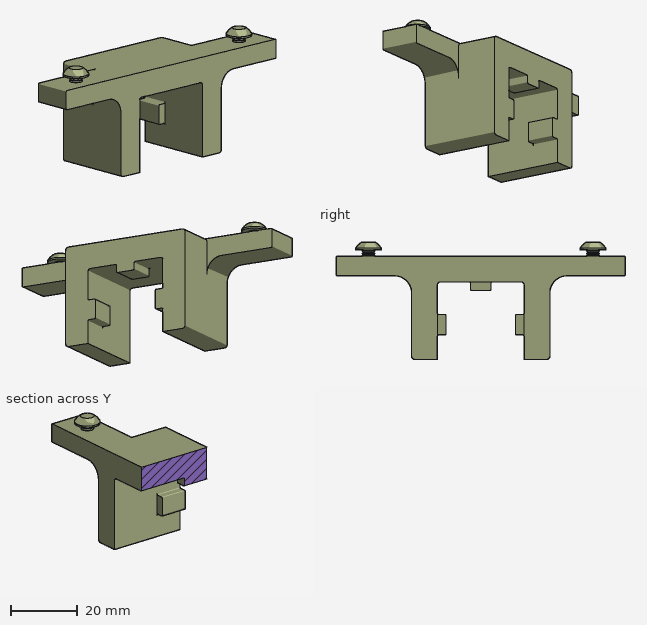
import cadquery as cq


block_length = 25.0
block_width = 41.4
block_height = 31.0
block_edge_radius = 1.0

channel_width = 25.9
channel_height = 23.2
channel_corner_radius = 0.9

key_width = 6.1
key_projection = 2.6
key_length = 8.7
key_edge_radius = 0.4
side_key_bottom = 7.35

arm_span = 86.5
arm_start = 12.9
arm_thickness = 6.0
arm_fillet_radius = 5.0
arm_edge_radius = 0.4

screw_spacing = 67.1
screw_center_x = 19.0
total_height = 35.1
head_diameter = 7.7
head_top_diameter = 4.15
head_height = 2.3
head_rim_height = 0.5
head_dome_bulge = 0.13
shank_diameter = 3.2
thread_diameter = 3.9
thread_pitch = 0.7
thread_count = 3
screw_embed = 0.4

arm_width = block_length - arm_start
arm_bottom = block_height - arm_thickness


def bar_along_x(start, length, y_min, y_max, z_min, z_max):
    """Rectangular bar between the given limits."""
    size = (length, y_max - y_min, z_max - z_min)
    return cq.Workplane().box(*size, centered=False).translate((start, y_min, z_min))


def make_block():
    """Downward-open channel block with rounded long edges."""
    half_width = block_width / 2
    half_channel = channel_width / 2
    body = bar_along_x(0, block_length, -half_width, half_width, 0, block_height)
    body = body.edges("|X").fillet(block_edge_radius)
    channel = bar_along_x(0, block_length, -half_channel, half_channel, 0, channel_height)
    channel = channel.edges("|X and >Z").fillet(channel_corner_radius)
    return body.cut(channel)


def make_arms():
    """Both arms as one bar, flared into the block by a round fillet on each side."""
    half_span = arm_span / 2
    half_width = block_width / 2
    flare_end = half_width + arm_fillet_radius
    flare_bottom = arm_bottom - arm_fillet_radius
    bar = bar_along_x(arm_start, arm_width, -half_span, half_span, arm_bottom, block_height)
    bar = bar.edges("|X").fillet(arm_edge_radius)
    flare = bar_along_x(arm_start, arm_width, -flare_end, flare_end, flare_bottom, arm_bottom)
    for side in (-1, 1):
        round_cut = (
            cq.Workplane("YZ", origin=(arm_start, side * flare_end, flare_bottom))
            .circle(arm_fillet_radius)
            .extrude(arm_width)
        )
        flare = flare.cut(round_cut)
    channel_space = bar_along_x(
        arm_start, arm_width, -channel_width / 2, channel_width / 2, 0, arm_bottom
    )
    return bar.union(flare).cut(channel_space)


def make_key():
    """Key hanging below Z = 0, with rounded free edges and rounded inside corners at its root."""
    half_width = key_width / 2
    r = key_edge_radius
    return (
        cq.Workplane("YZ")
        .moveTo(-half_width - r, 0)
        .radiusArc((-half_width, -r), r)
        .lineTo(-half_width, r - key_projection)
        .radiusArc((r - half_width, -key_projection), -r)
        .lineTo(half_width - r, -key_projection)
        .radiusArc((half_width, r - key_projection), -r)
        .lineTo(half_width, -r)
        .radiusArc((half_width + r, 0), r)
        .close()
        .extrude(key_length)
    )


def make_screw():
    """Visible part of a screw on the Z axis, with the arm's top at Z = 0."""
    head_top = total_height - block_height
    head_bottom = head_top - head_height
    rim_top = head_bottom + head_rim_height
    head_radius = head_diameter / 2
    top_radius = head_top_diameter / 2
    shank_radius = shank_diameter / 2
    dome_middle = (
        (head_radius + top_radius) / 2 + head_dome_bulge,
        (rim_top + head_top) / 2 + head_dome_bulge,
    )
    profile = cq.Workplane("XZ").moveTo(0, -screw_embed).lineTo(shank_radius, -screw_embed)
    for turn in range(thread_count):
        root = head_bottom - (thread_count - turn) * thread_pitch
        profile = profile.lineTo(shank_radius, root)
        profile = profile.lineTo(thread_diameter / 2, root + thread_pitch / 2)
    return (
        profile.lineTo(shank_radius, head_bottom)
        .lineTo(head_radius, head_bottom)
        .lineTo(head_radius, rim_top)
        .threePointArc(dome_middle, (top_radius, head_top))
        .lineTo(0, head_top)
        .close()
        .revolve(360, (0, 0), (0, 1))
    )


result = make_block().union(make_arms())

key = make_key()
result = result.union(key.translate((0, 0, channel_height)))
wall_offset = channel_width / 2
side_key_center = side_key_bottom + key_width / 2
for side in (-1, 1):
    side_key = key.rotate((0, 0, 0), (1, 0, 0), side * -90)
    result = result.union(side_key.translate((0, side * wall_offset, side_key_center)))

screw = make_screw()
for side in (-1, 1):
    result = result.union(screw.translate((screw_center_x, side * screw_spacing / 2, block_height)))